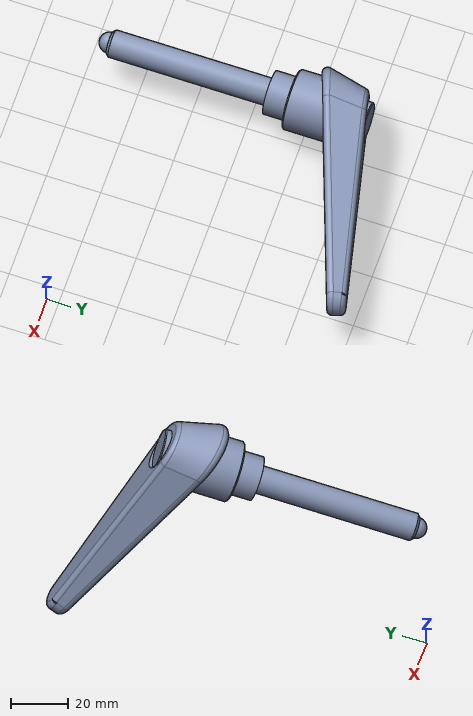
import cadquery as cq
import math


BOSS_DIAMETER = 22.0
BOSS_CHAMFER = 0.5

HEAD_RADIUS = 16.68
DRAFT_ANGLE = 13.0
SIDE_ANGLE = 1.1
BLANK_LENGTH = 90.0
BLANK_HEIGHT = 50.0
TOP_SLOPE = 13.2
BOTTOM_SLOPE = 20.0
TOP_HEIGHT = 27.55
BOTTOM_HEIGHT = 11.4
TIP_TILT = 18.0
TIP_CHORD = 77.2
TIP_REACH = 82.75
TIP_BASE = 12.0
TIP_CREST = 22.0
ARM_FILLET = 2.0
TRIM_MARGIN = 30.0

BUTTON_DIAMETER = 14.5
BUTTON_HEIGHT = 28.2
BUTTON_CHAMFER = 0.4
COLLAR_DIAMETER = 16.0
COLLAR_LENGTH = 8.0
STUD_DIAMETER = 10.0
STUD_LENGTH = 59.05
STUD_CHAMFER = 1.0
BALL_RADIUS = 3.75


def cylinder(diameter, y_start, y_end):
    """Cylinder on the pin axis between two heights."""
    plane = cq.Plane(origin=(0, y_start, 0), xDir=(-1, 0, 0), normal=(0, 1, 0))
    return cq.Workplane(plane).circle(diameter / 2).extrude(y_end - y_start)


def drafted_blank():
    """Round head with narrowing straight sides, all walls leaning inwards."""
    angle = math.radians(SIDE_ANGLE)
    tangent_x = HEAD_RADIUS * math.sin(angle)
    tangent_z = HEAD_RADIUS * math.cos(angle)
    end_z = tangent_z - (BLANK_LENGTH - tangent_x) * math.tan(angle)
    plane = cq.Plane(origin=(0, 0, 0), xDir=(1, 0, 0), normal=(0, 1, 0))
    return (
        cq.Workplane(plane)
        .moveTo(tangent_x, tangent_z)
        .threePointArc((-HEAD_RADIUS, 0), (tangent_x, -tangent_z))
        .lineTo(BLANK_LENGTH, -end_z)
        .lineTo(BLANK_LENGTH, end_z)
        .close()
        .extrude(BLANK_HEIGHT, taper=DRAFT_ANGLE)
    )


def slope_wedge():
    """Space between the lower and upper arm planes."""
    top_rise = math.tan(math.radians(TOP_SLOPE))
    bottom_rise = math.tan(math.radians(BOTTOM_SLOPE))
    x_min = -TRIM_MARGIN
    x_max = BLANK_LENGTH
    return (
        cq.Workplane("XY")
        .moveTo(x_min, BOTTOM_HEIGHT + x_min * bottom_rise)
        .lineTo(x_max, BOTTOM_HEIGHT + x_max * bottom_rise)
        .lineTo(x_max, TOP_HEIGHT + x_max * top_rise)
        .lineTo(x_min, TOP_HEIGHT + x_min * top_rise)
        .close()
        .extrude(TRIM_MARGIN, both=True)
    )


def tilted_plane(height):
    """Plane square to the tip axis; its local X runs out along the tilted arm."""
    tilt = math.radians(TIP_TILT)
    along = cq.Vector(math.cos(tilt), math.sin(tilt), 0)
    upward = cq.Vector(-math.sin(tilt), math.cos(tilt), 0)
    return cq.Plane(origin=upward * height, xDir=along, normal=upward)


def wall_half_width(x, y):
    """Distance from the middle of the arm to its drafted side wall."""
    angle = math.radians(SIDE_ANGLE)
    radius = HEAD_RADIUS - y * math.tan(math.radians(DRAFT_ANGLE))
    return (radius - x * math.sin(angle)) / math.cos(angle)


def tip_arc(height):
    """Tip outline at one height: a chord as wide as the arm, closed by an arc."""
    plane = tilted_plane(height)
    chord_middle = plane.toWorldCoords((TIP_CHORD, 0))
    half_width = wall_half_width(chord_middle.x, chord_middle.y)
    outline = (
        cq.Workplane(plane)
        .moveTo(TIP_CHORD, -half_width)
        .threePointArc((TIP_REACH, 0), (TIP_CHORD, half_width))
        .close()
    )
    return outline.wires().val()


def rounded_tip():
    """Tip ruled between its lowest and highest outlines."""
    tip = cq.Solid.makeLoft([tip_arc(TIP_BASE), tip_arc(TIP_CREST)], True)
    return cq.Workplane(tip)


def inner_block():
    """Everything on the head side of the tip chord."""
    return (
        cq.Workplane(tilted_plane(0))
        .moveTo(-TRIM_MARGIN, -TRIM_MARGIN)
        .lineTo(TIP_CHORD, -TRIM_MARGIN)
        .lineTo(TIP_CHORD, TRIM_MARGIN)
        .lineTo(-TRIM_MARGIN, TRIM_MARGIN)
        .close()
        .extrude(BLANK_HEIGHT, both=True)
    )


def sloping_face(arm, slope, side):
    """Planar arm face of the given slope; side is +1 for upper, -1 for lower."""
    angle = math.radians(slope)
    normal = cq.Vector(-math.sin(angle), math.cos(angle), 0) * side
    return max(arm.faces("%PLANE").vals(), key=lambda face: face.normalAt().dot(normal))


def make_arm():
    blank = drafted_blank().intersect(inner_block()).union(rounded_tip())
    arm = blank.intersect(slope_wedge())
    edges = sloping_face(arm, TOP_SLOPE, 1).Edges() + sloping_face(arm, BOTTOM_SLOPE, -1).Edges()
    rounded_arm = arm.newObject(edges).fillet(ARM_FILLET)
    return cq.Workplane(rounded_arm.val().fix())


def make_handle():
    boss_top = BOTTOM_HEIGHT + BOSS_DIAMETER / 2 * math.tan(math.radians(BOTTOM_SLOPE))
    boss = cylinder(BOSS_DIAMETER, 0, boss_top).faces("<Y").chamfer(BOSS_CHAMFER)
    highest_top = TOP_HEIGHT + BUTTON_DIAMETER * math.tan(math.radians(TOP_SLOPE))
    bore = cylinder(BUTTON_DIAMETER, 0, highest_top)
    return make_arm().union(boss).cut(bore)


def make_pin():
    shoulder = -COLLAR_LENGTH
    stud_end = shoulder - STUD_LENGTH
    button = cylinder(BUTTON_DIAMETER, 0, BUTTON_HEIGHT).faces(">Y").chamfer(BUTTON_CHAMFER)
    collar = cylinder(COLLAR_DIAMETER, shoulder, 0)
    stud = cylinder(STUD_DIAMETER, stud_end, shoulder).faces("<Y").chamfer(STUD_CHAMFER)
    ball = cq.Workplane("XY").sphere(BALL_RADIUS).translate((0, stud_end, 0))
    return button.union(collar).union(stud).union(ball)


handle = make_handle()
pin = make_pin()
result = cq.Compound.makeCompound([handle.solids().val(), pin.solids().val()])